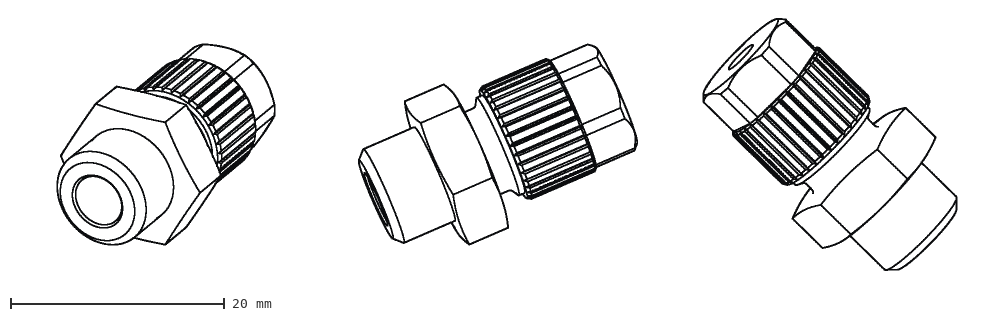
import cadquery as cq
import math

LENGTH = 24.6
SPIGOT_END = -LENGTH / 2
NUT_END = LENGTH / 2

HEX_FLAT_TO_CORNER = math.cos(math.radians(30))

SPIGOT_RADIUS = 4.8
SPIGOT_CHAMFER = 0.79
SPIGOT_LENGTH = 6.0

BODY_FLATS = 13.0
BODY_WIDTH = 4.5
BODY_CHAMFER_ANGLE = 14.0

NECK_RADIUS = 4.2
NECK_FILLET = 0.5
NECK_FLARE_ANGLE = 60.0
COLLAR_RADIUS = 5.0
COLLAR_WIDTH = 0.6

KNURL_RADIUS = 5.75
KNURL_LENGTH = 7.05
KNURL_FRONT_CHAMFER_LENGTH = 0.37
KNURL_FRONT_CHAMFER_ANGLE = 30.0
KNURL_BACK_CHAMFER = 0.22
GROOVE_COUNT = 36
GROOVE_DEPTH = 0.16

NUT_HEX_LENGTH = 4.48
NUT_FLATS = 9.99
NUT_CORNER_RADIUS = 5.45
NUT_CHAMFER = 0.52

BORE_RADIUS = 2.48
BORE_MOUTH_CHAMFER = 0.22
TAPER_ANGLE = 60.0
THROUGH_RADIUS = 1.6

BODY_START = SPIGOT_END + SPIGOT_LENGTH
BODY_END = BODY_START + BODY_WIDTH
NUT_HEX_START = NUT_END - NUT_HEX_LENGTH
KNURL_START = NUT_HEX_START - KNURL_LENGTH
COLLAR_START = KNURL_START - COLLAR_WIDTH


def revolve_about_y(profile):
    """Turn a closed (radius, y) outline into a solid of revolution."""
    return profile.close().revolve(360, (0, 0, 0), (0, 1, 0))


def hexagon(flats, start, length):
    """Hexagonal bar along +Y with two flats facing +Z and -Z."""
    across_corners = flats / HEX_FLAT_TO_CORNER
    plane = cq.Plane(origin=(0, start, 0), xDir=(1, 0, 0), normal=(0, 1, 0))
    return cq.Workplane(plane).polygon(6, across_corners).extrude(length)


def make_spigot():
    tip_radius = SPIGOT_RADIUS - SPIGOT_CHAMFER
    return revolve_about_y(
        cq.Workplane("XY")
        .moveTo(0, SPIGOT_END)
        .lineTo(tip_radius, SPIGOT_END)
        .lineTo(SPIGOT_RADIUS, SPIGOT_END + SPIGOT_CHAMFER)
        .lineTo(SPIGOT_RADIUS, BODY_START)
        .lineTo(0, BODY_START)
    )


def make_body():
    """Hexagon whose corners are turned off by a shallow cone on both faces."""
    face_radius = BODY_FLATS / 2
    corner_radius = face_radius / HEX_FLAT_TO_CORNER
    chamfer = (corner_radius - face_radius) * math.tan(math.radians(BODY_CHAMFER_ANGLE))
    envelope = revolve_about_y(
        cq.Workplane("XY")
        .moveTo(0, BODY_START)
        .lineTo(face_radius, BODY_START)
        .lineTo(corner_radius, BODY_START + chamfer)
        .lineTo(corner_radius, BODY_END - chamfer)
        .lineTo(face_radius, BODY_END)
        .lineTo(0, BODY_END)
    )
    return hexagon(BODY_FLATS, BODY_START, BODY_WIDTH).intersect(envelope)


def make_neck():
    """Waist with a quarter fillet at the body and a flared fillet up to the collar."""
    arc_centre_radius = NECK_RADIUS + NECK_FILLET
    flare = math.radians(NECK_FLARE_ANGLE)
    flare_end_radius = arc_centre_radius - NECK_FILLET * math.cos(flare)
    flare_end = COLLAR_START - (COLLAR_RADIUS - flare_end_radius) / math.tan(flare)
    flare_start = flare_end - NECK_FILLET * math.sin(flare)

    fillet_end = BODY_END + NECK_FILLET
    quarter_middle = (
        arc_centre_radius - NECK_FILLET * math.cos(math.pi / 4),
        fillet_end - NECK_FILLET * math.sin(math.pi / 4),
    )
    flare_middle = (
        arc_centre_radius - NECK_FILLET * math.cos(flare / 2),
        flare_start + NECK_FILLET * math.sin(flare / 2),
    )
    return revolve_about_y(
        cq.Workplane("XY")
        .moveTo(0, BODY_END)
        .lineTo(arc_centre_radius, BODY_END)
        .threePointArc(quarter_middle, (NECK_RADIUS, fillet_end))
        .lineTo(NECK_RADIUS, flare_start)
        .threePointArc(flare_middle, (flare_end_radius, flare_end))
        .lineTo(COLLAR_RADIUS, COLLAR_START)
        .lineTo(COLLAR_RADIUS, KNURL_START)
        .lineTo(0, KNURL_START)
    )


def make_grooves():
    """Right-angled V cutters spaced evenly, none of them on the X or Z axis."""
    bottom = KNURL_RADIUS - GROOVE_DEPTH
    reach = 2 * GROOVE_DEPTH
    plane = cq.Plane(origin=(0, KNURL_START, 0), xDir=(1, 0, 0), normal=(0, 1, 0))
    cutter = (
        cq.Workplane(plane)
        .moveTo(bottom, 0)
        .lineTo(bottom + reach, reach)
        .lineTo(bottom + reach, -reach)
        .close()
        .extrude(KNURL_LENGTH)
    )
    pitch = 360 / GROOVE_COUNT
    grooves = cq.Workplane("XY")
    for index in range(GROOVE_COUNT):
        angle = (index + 0.5) * pitch
        grooves = grooves.add(cutter.rotate((0, 0, 0), (0, 1, 0), angle))
    return grooves.combine()


def make_knurl():
    front_drop = KNURL_FRONT_CHAMFER_LENGTH * math.tan(math.radians(KNURL_FRONT_CHAMFER_ANGLE))
    blank = revolve_about_y(
        cq.Workplane("XY")
        .moveTo(0, KNURL_START)
        .lineTo(KNURL_RADIUS - front_drop, KNURL_START)
        .lineTo(KNURL_RADIUS, KNURL_START + KNURL_FRONT_CHAMFER_LENGTH)
        .lineTo(KNURL_RADIUS, NUT_HEX_START - KNURL_BACK_CHAMFER)
        .lineTo(KNURL_RADIUS - KNURL_BACK_CHAMFER, NUT_HEX_START)
        .lineTo(0, NUT_HEX_START)
    )
    return blank.cut(make_grooves())


def make_nut_hexagon():
    """Hexagon with rounded corners and a 45 degree end chamfer that just cuts into the flats."""
    envelope = revolve_about_y(
        cq.Workplane("XY")
        .moveTo(0, NUT_HEX_START)
        .lineTo(NUT_CORNER_RADIUS, NUT_HEX_START)
        .lineTo(NUT_CORNER_RADIUS, NUT_END - NUT_CHAMFER)
        .lineTo(NUT_CORNER_RADIUS - NUT_CHAMFER, NUT_END)
        .lineTo(0, NUT_END)
    )
    return hexagon(NUT_FLATS, NUT_HEX_START, NUT_HEX_LENGTH).intersect(envelope)


def make_bore():
    taper_length = (BORE_RADIUS - THROUGH_RADIUS) / math.tan(math.radians(TAPER_ANGLE))
    return revolve_about_y(
        cq.Workplane("XY")
        .moveTo(0, SPIGOT_END)
        .lineTo(BORE_RADIUS + BORE_MOUTH_CHAMFER, SPIGOT_END)
        .lineTo(BORE_RADIUS, SPIGOT_END + BORE_MOUTH_CHAMFER)
        .lineTo(BORE_RADIUS, BODY_END)
        .lineTo(THROUGH_RADIUS, BODY_END + taper_length)
        .lineTo(THROUGH_RADIUS, NUT_END)
        .lineTo(0, NUT_END)
    )


result = (
    make_spigot()
    .union(make_body())
    .union(make_neck())
    .union(make_knurl())
    .union(make_nut_hexagon())
    .cut(make_bore())
)